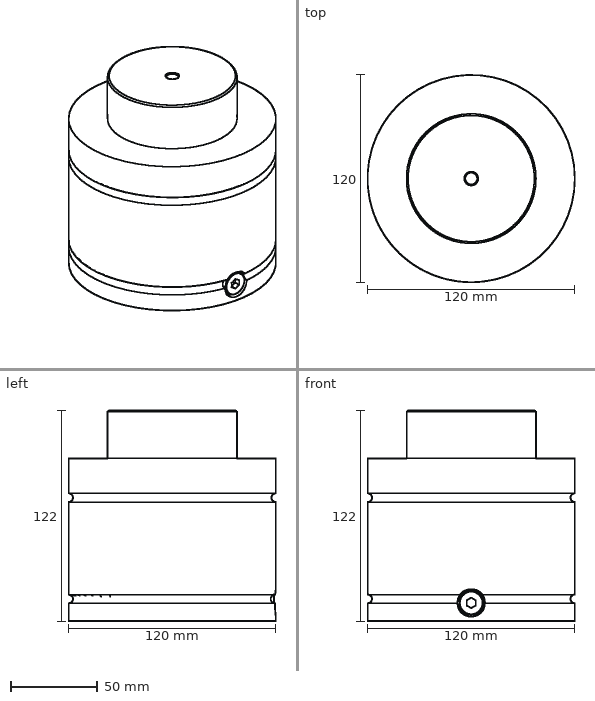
import cadquery as cq
import math

body_diameter = 120.0
body_height = 94.1
overall_height = 122.0
rod_diameter = 75.0
rod_chamfer = 1.0

groove_width = 5.0
groove_heights = (12.8, 71.4)

hole_diameter = 6.8
hole_mouth_diameter = 8.0
hole_depth = 14.6
drill_tip_angle = 118

plug_height = 10.5
plug_diameter = 14.0
plug_chamfer = 0.5
pocket_diameter = 16.0
pocket_depth = 3.0
plug_face_offset = 59.2
socket_across_corners = 6.1
socket_depth = 3.7

body_radius = body_diameter / 2
groove_radius = groove_width / 2


def make_body():
    body = cq.Workplane("XY").circle(body_radius).extrude(body_height)
    rod = cq.Workplane("XY").circle(rod_diameter / 2).extrude(overall_height)
    return body.union(rod.faces(">Z").chamfer(rod_chamfer))


def make_groove(height):
    """Ring of circular section centred on the outer surface of the body."""
    ring = cq.Solid.makeTorus(body_radius, groove_radius, cq.Vector(0, 0, height))
    return cq.Workplane(obj=ring)


def make_rod_hole():
    """Countersunk blind hole with a conical drill tip."""
    radius = hole_diameter / 2
    mouth_radius = hole_mouth_diameter / 2
    mouth_depth = mouth_radius - radius
    tip_length = radius / math.tan(math.radians(drill_tip_angle / 2))
    bottom = overall_height - hole_depth
    profile = (
        cq.Workplane("XZ")
        .moveTo(0, overall_height)
        .lineTo(mouth_radius, overall_height)
        .lineTo(radius, overall_height - mouth_depth)
        .lineTo(radius, bottom)
        .lineTo(0, bottom - tip_length)
        .close()
    )
    return profile.revolve(360, (0, 0, 0), (0, 1, 0))


def plug_plane(offset):
    """Sketch plane facing -Y, centred on the plug axis."""
    return cq.Workplane("XZ", origin=(0, -offset, plug_height))


def make_plug_socket():
    """Hexagonal key socket with two corners on the vertical."""
    socket = plug_plane(plug_face_offset).polygon(6, socket_across_corners)
    socket = socket.extrude(-socket_depth)
    return socket.rotate((0, 0, plug_height), (0, 1, plug_height), 30)


def make_plug():
    plug = plug_plane(plug_face_offset).circle(plug_diameter / 2).extrude(-pocket_depth)
    return plug.faces("<Y").chamfer(plug_chamfer)


def make_plug_pocket():
    """Round pocket that leaves an open ring around the plug."""
    pocket_length = pocket_depth + body_radius - plug_face_offset
    return plug_plane(body_radius).circle(pocket_diameter / 2).extrude(-pocket_length)


result = make_body()
for groove_height in groove_heights:
    result = result.cut(make_groove(groove_height))
result = result.cut(make_rod_hole())
result = result.cut(make_plug_pocket())
result = result.union(make_plug())
result = result.cut(make_plug_socket())